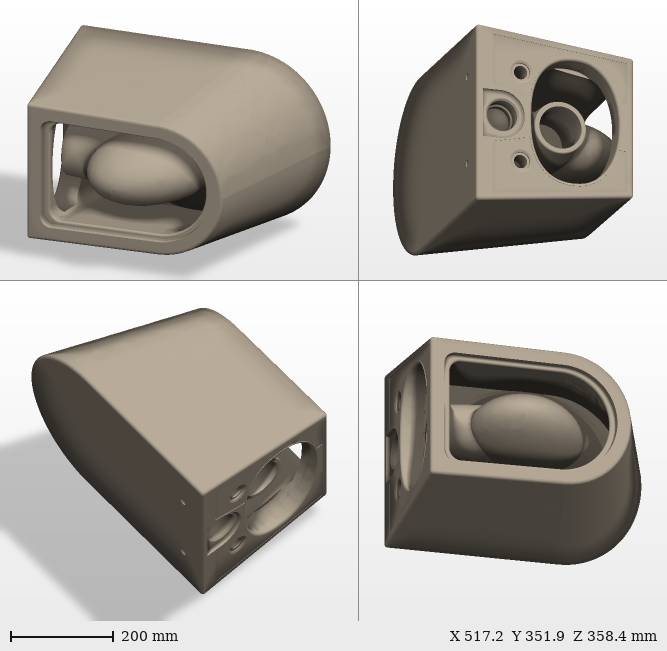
import cadquery as cq
import math


rim_nose = 519.67
rim_half_width = 179.97
rim_nose_length = 169.0
base_y = -323.5
base_back = 5.0
base_nose = 408.6
base_half_width = 142.0
base_nose_radius = 137.0
outer_rounding = 6.0

opening_back = 47.7
opening_nose = 368.0
opening_half_width = 102.4
opening_nose_radius = 100.0
opening_corner = 23.0
ledge_back = 32.6
ledge_nose = 381.3
ledge_half_width = 113.4
ledge_nose_radius = 110.0
ledge_depth = 15.0
ledge_rounding = 3.5
mouth_rounding = 4.0
ledge_y = base_y + ledge_depth
slab_thickness = 60.0
slab_y = -slab_thickness
cavity_top_nose = 465.0
cavity_top_half_width = 150.0

bowl_center_x = 265.0
bowl_radius_x = 164.0
bowl_radius_z = 145.0
flare_height = 12.0
flare_width_x = 24.0
flare_width_z = 8.0
trap_center_x = 230.0
trap_bottom_x = 198.0
trap_y = -187.0
trap_bottom_y = -351.94
trap_radius_x = 119.0
trap_radius_z = 70.5
outlet_face_x = 45.0
outlet_end_x = 220.0
outlet_face_radius = 52.8
outlet_end_radius = 66.0
outlet_edge_rounding = 3.0
outlet_bore_radius = 43.0
outlet_bore_depth = 120.0

wall_cut_start = 5.0
service_drop = 204.0
service_half_height = 90.3
service_half_width = 124.5
service_lower_power = 2.12
service_upper_power = 2.45
service_rounding = 4.5
service_point_count = 24
pad_depth = 1.0
pad_service_margin = 6.0
pad_outline = [
    (34.0, 162.3),
    (310.0, 131.0),
    (310.0, 48.7),
    (250.0, 48.7),
    (150.0, 42.0),
    (104.0, 42.0),
    (34.0, 57.0),
]
mount_drop = 92.7
mount_half_spacing = 90.8
mount_radius = 13.6
mount_counterbore_radius = 18.5
mount_flare_depth = 3.0
mount_counterbore_depth = 6.0
mount_rim_radius = 25.0
inlet_drop = 56.0
inlet_boss_radius = 45.0
inlet_boss_end_x = 150.0
inlet_mouth_radius = 34.5
inlet_bore_radius = 31.0
inlet_bore_depth = 37.0
inlet_seat_radius = 27.0
inlet_seat_depth = 50.0
inlet_recess_start = 13.3
inlet_recess_half_width = 48.7
inlet_recess_center_drop = 50.5
inlet_recess_depth = 7.0
inlet_recess_rounding = 6.0

hinge_x = 58.0
hinge_half_spacing = 88.5
hinge_radius = 7.4

select_margin = 1.0

wall_slope = math.atan2(base_back, -base_y)
wall_plane = cq.Plane(
    origin=(0, 0, 0),
    xDir=(math.sin(wall_slope), -math.cos(wall_slope), 0),
    normal=(-math.cos(wall_slope), -math.sin(wall_slope), 0),
)


def horizontal_plane(y):
    """Plane at height y whose local x is X and local y is Z."""
    return cq.Plane(origin=(0, y, 0), xDir=(1, 0, 0), normal=(0, -1, 0))


def d_outline(y, back, nose, half_width, nose_length, nose_half_width):
    """D-shaped wire at height y: square at the wall, with sides tangent to an elliptic nose."""
    center = nose - nose_length
    circle_reach = (center - back) * nose_half_width / nose_length
    turn = (
        math.pi
        - math.atan2(half_width, circle_reach)
        - math.acos(nose_half_width / math.hypot(circle_reach, half_width))
    )

    def place(x, z):
        return cq.Vector(x, y, z)

    def nose_arc(start, end):
        return cq.Edge.makeEllipse(
            nose_length, nose_half_width, place(center, 0), cq.Vector(0, -1, 0), cq.Vector(1, 0, 0),
            math.degrees(start), math.degrees(end),
        )

    tangent_x = center + nose_length * math.cos(turn)
    tangent_z = nose_half_width * math.sin(turn)
    return cq.Wire.assembleEdges([
        cq.Edge.makeLine(place(back, -half_width), place(tangent_x, -tangent_z)),
        nose_arc(-turn, 0),
        nose_arc(0, turn),
        cq.Edge.makeLine(place(tangent_x, tangent_z), place(back, half_width)),
        cq.Edge.makeLine(place(back, half_width), place(back, -half_width)),
    ])


def round_d_outline(y, back, nose, half_width, nose_radius):
    """D-shaped wire at height y with a circular nose."""
    return d_outline(y, back, nose, half_width, nose_radius, nose_radius)


def ruled_solid(lower, upper):
    return cq.Workplane(cq.Solid.makeLoft([lower, upper], True))


def ellipse_wire(y, center_x, radius_x, radius_z):
    return cq.Workplane(horizontal_plane(y)).center(center_x, 0).ellipse(radius_x, radius_z).val()


def wall_workplane(depth=0.0):
    """Workplane lying in the sloping wall face, sunk into the body by depth."""
    return cq.Workplane(wall_plane).workplane(offset=-depth)


def service_outline(workplane, margin=0.0):
    """Superelliptic outline of the service opening, grown by margin."""
    def point(turn):
        c = math.cos(turn)
        s = math.sin(turn)
        power = 2 / (service_lower_power if c > 0 else service_upper_power)
        return (
            service_drop + (service_half_height + margin) * math.copysign(abs(c) ** power, c),
            (service_half_width + margin) * math.copysign(abs(s) ** power, s),
        )

    points = [point(2 * math.pi * i / service_point_count) for i in range(service_point_count)]
    return workplane.spline(points, periodic=True).close()


def outer_body():
    rim = d_outline(0, 0, rim_nose, rim_half_width, rim_nose_length, rim_half_width)
    base = round_d_outline(base_y, base_back, base_nose, base_half_width, base_nose_radius)
    body = ruled_solid(base, rim)
    return body.faces(">Y or <Y or <X").edges().fillet(outer_rounding)


def cavity():
    mouth = round_d_outline(ledge_y, opening_back, opening_nose, opening_half_width, opening_nose_radius)
    top = round_d_outline(
        slab_y, opening_back, cavity_top_nose, cavity_top_half_width, cavity_top_half_width
    )
    hollow = ruled_solid(mouth, top)
    return hollow.faces("<X").edges("not #Y").fillet(opening_corner)


def opening_ledge():
    wire = round_d_outline(base_y, ledge_back, ledge_nose, ledge_half_width, ledge_nose_radius)
    ledge = cq.Workplane(cq.Solid.extrudeLinear(wire, [], cq.Vector(0, ledge_depth, 0)))
    return ledge.edges("|Y and <X").fillet(opening_corner).faces(">Y").edges().fillet(ledge_rounding)


def service_opening():
    """Opening through the wall into the cavity."""
    outline = service_outline(wall_workplane(-wall_cut_start))
    return outline.extrude(-(opening_back + 2 * wall_cut_start))


def shell():
    body = outer_body().cut(cavity()).cut(opening_ledge())
    mouth_edges = cq.selectors.BoxSelector(
        (ledge_back + 2 * ledge_rounding, ledge_y - select_margin, -opening_half_width - select_margin),
        (opening_nose + select_margin, ledge_y + select_margin, opening_half_width + select_margin),
        boundingbox=True,
    )
    body = body.edges(mouth_edges).fillet(mouth_rounding)
    body = body.cut(service_opening())
    service_edge = cq.selectors.BoxSelector(
        (-select_margin, -service_drop - service_half_width, -service_half_width - select_margin),
        (opening_back / 2, -service_drop + service_half_width, service_half_width + select_margin),
        boundingbox=True,
    )
    return body.edges(service_edge).fillet(service_rounding)


def trap():
    """Sphere stretched into an egg shape and leaned so that it hangs towards the wall."""
    radius_y = trap_y - trap_bottom_y
    stretch = cq.Matrix([
        [trap_radius_x, trap_center_x - trap_bottom_x, 0, trap_center_x],
        [0, radius_y, 0, trap_y],
        [0, 0, trap_radius_z, 0],
    ])
    ball = cq.Workplane("XZ").sphere(1.0).val()
    return cq.Workplane(ball.transformGeometry(stretch))


def bowl():
    """Tapered bowl that flares out where it meets the slab under the rim."""
    lower = ellipse_wire(trap_y, trap_center_x, trap_radius_x, trap_radius_z)
    upper = ellipse_wire(slab_y - flare_height, bowl_center_x, bowl_radius_x, bowl_radius_z)
    flare = ellipse_wire(slab_y, bowl_center_x, bowl_radius_x + flare_width_x, bowl_radius_z + flare_width_z)
    return ruled_solid(lower, upper).union(ruled_solid(upper, flare))


def outlet_pipe():
    length = outlet_end_x - outlet_face_x
    cone = cq.Solid.makeCone(
        outlet_face_radius, outlet_end_radius, length, cq.Vector(outlet_face_x, trap_y, 0), cq.Vector(1, 0, 0)
    )
    return cq.Workplane(cone).faces("<X").edges().fillet(outlet_edge_rounding)


def inlet_boss():
    """Pipe around the inlet, running from inside the wall to the bowl."""
    start = opening_back / 2
    section = wall_workplane(start).center(inlet_drop, 0).circle(inlet_boss_radius)
    return section.extrude(start - inlet_boss_end_x)


def outlet_bore():
    axis = cq.Vector(1, 0, 0)
    start = cq.Vector(outlet_face_x, trap_y, 0)
    return cq.Workplane(cq.Solid.makeCylinder(outlet_bore_radius, outlet_bore_depth, start, axis))


def wall_pads():
    """Shallow recesses on both sides of the wall face, stopping short of the service opening."""
    pads = cq.Workplane("XY")
    for side in (-1, 1):
        outline = [(drop, side * z) for drop, z in pad_outline]
        pads = pads.add(wall_workplane(pad_depth).polyline(outline).close().extrude(2 * pad_depth))
    keep = service_outline(wall_workplane(2 * pad_depth), pad_service_margin).extrude(4 * pad_depth)
    return pads.combine().cut(keep)


def revolved_bore(drop, z, profile):
    """Round bore into the wall face; profile lists (radius, depth) from mouth to end."""
    axis_points = [(0, -profile[-1][1]), (0, -profile[0][1])]
    points = [(radius, -depth) for radius, depth in profile] + axis_points
    plane = cq.Plane(
        origin=wall_plane.toWorldCoords((drop, z, 0)), xDir=wall_plane.xDir, normal=(0, 0, -1)
    )
    return cq.Workplane(plane).polyline(points).close().revolve(360, (0, 0, 0), (0, 1, 0))


def mount_hole(side):
    return revolved_bore(mount_drop, side * mount_half_spacing, [
        (mount_rim_radius, -wall_cut_start),
        (mount_rim_radius, 0),
        (mount_counterbore_radius, mount_flare_depth),
        (mount_counterbore_radius, mount_counterbore_depth),
        (mount_radius, mount_counterbore_depth),
        (mount_radius, opening_back + 2 * wall_cut_start),
    ])


def inlet_bore():
    flare_end = inlet_recess_depth + inlet_mouth_radius - inlet_bore_radius
    return revolved_bore(inlet_drop, 0, [
        (inlet_mouth_radius, inlet_recess_depth),
        (inlet_bore_radius, flare_end),
        (inlet_bore_radius, inlet_bore_depth),
        (inlet_seat_radius, inlet_bore_depth),
        (inlet_seat_radius, inlet_seat_depth),
    ])


def inlet_recess():
    """Recess around the inlet: straight towards the rim, half round below."""
    recess = (
        wall_workplane(inlet_recess_depth)
        .moveTo(inlet_recess_start, -inlet_recess_half_width)
        .lineTo(inlet_recess_center_drop, -inlet_recess_half_width)
        .threePointArc(
            (inlet_recess_center_drop + inlet_recess_half_width, 0),
            (inlet_recess_center_drop, inlet_recess_half_width),
        )
        .lineTo(inlet_recess_start, inlet_recess_half_width)
        .close()
        .extrude(inlet_recess_depth + wall_cut_start)
    )
    return recess.faces(">X").edges().fillet(inlet_recess_rounding)


def hinge_holes():
    workplane = cq.Workplane(horizontal_plane(0)).pushPoints(
        [(hinge_x, -hinge_half_spacing), (hinge_x, hinge_half_spacing)]
    )
    return workplane.circle(hinge_radius).extrude(slab_thickness + wall_cut_start)


result = shell().union(bowl()).union(trap()).union(outlet_pipe()).union(inlet_boss())
cutters = [
    outlet_bore(),
    wall_pads(),
    mount_hole(-1),
    mount_hole(1),
    inlet_recess(),
    inlet_bore(),
    hinge_holes(),
]
for cutter in cutters:
    result = result.cut(cutter)